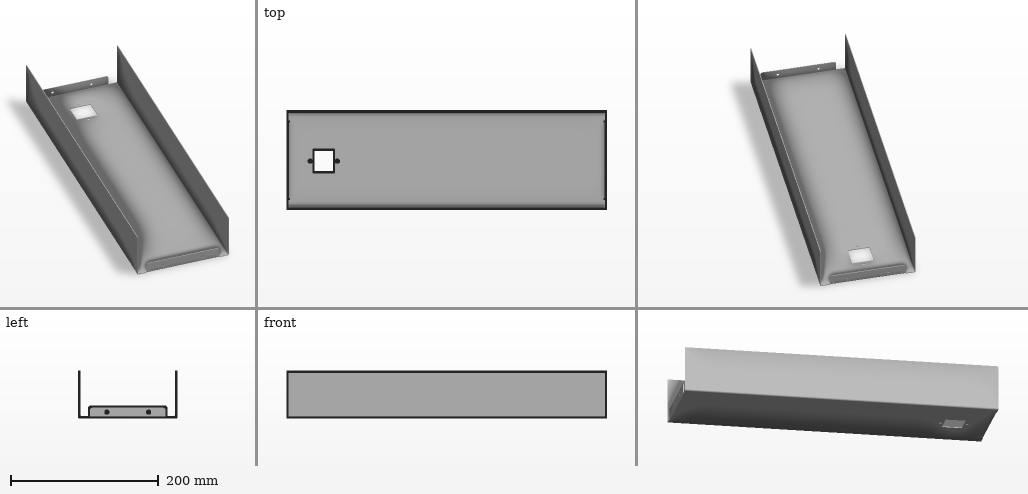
import cadquery as cq

length = 432.0
width = 132.5
height = 62.0
sheet = 1.0
inner_bend = 1.0
outer_bend = inner_bend + sheet

flange_width = 105.5
flange_height = 15.0
flange_corner = 4.0
flange_hole_diameter = 3.5
flange_hole_spacing = 56.5
flange_hole_height = 7.5

window_length = 27.5
window_width = 30.2
window_x = -length / 2 + 49.2
window_y = -1.5
screw_hole_diameter = 3.5
screw_hole_spacing = 36.7


def make_channel():
    """Floor and two full-length side walls, with rounded bends."""
    outside = (
        cq.Workplane("XY")
        .box(length, width, height, centered=(True, True, False))
        .edges("|X and <Z")
        .fillet(outer_bend)
    )
    inside = (
        cq.Workplane("XY", origin=(0, 0, sheet))
        .box(length, width - 2 * sheet, height, centered=(True, True, False))
        .edges("|X and <Z")
        .fillet(inner_bend)
    )
    return outside.cut(inside)


def make_end_flange():
    """Drilled flange at the -X end, including its bend into the floor."""
    end_x = -length / 2
    profile = (
        cq.Workplane("XZ", origin=(0, flange_width / 2, 0))
        .moveTo(end_x + outer_bend, 0)
        .radiusArc((end_x, outer_bend), outer_bend)
        .lineTo(end_x, flange_height)
        .lineTo(end_x + sheet, flange_height)
        .lineTo(end_x + sheet, outer_bend)
        .radiusArc((end_x + outer_bend, sheet), -inner_bend)
        .close()
    )
    flange = profile.extrude(flange_width).edges("|X and >Z").fillet(flange_corner)
    holes = (
        cq.Workplane("YZ", origin=(end_x, 0, flange_hole_height))
        .rarray(flange_hole_spacing, 4.5, 2, 1)
        .circle(flange_hole_diameter / 2)
        .extrude(sheet)
    )
    return flange.cut(holes)


def make_flange_bend_clearance():
    """Strip of floor at the -X end that the flange bend replaces."""
    return cq.Workplane("XY", origin=(-length / 2, 0, 0)).box(
        outer_bend, flange_width, sheet, centered=(False, True, False)
    )


def make_floor_openings():
    """Window and screw holes, as a tool passing through the floor."""
    floor = cq.Workplane("XY", origin=(window_x, window_y, 0))
    window = floor.rect(window_length, window_width).extrude(sheet)
    screw_holes = (
        floor.rarray(screw_hole_spacing, 4.5, 2, 1)
        .circle(screw_hole_diameter / 2)
        .extrude(sheet)
    )
    return window.union(screw_holes)


tray = make_channel().cut(make_floor_openings())
for turn in (0, 180):
    clearance = make_flange_bend_clearance().rotate((0, 0, 0), (0, 0, 1), turn)
    flange = make_end_flange().rotate((0, 0, 0), (0, 0, 1), turn)
    tray = tray.cut(clearance).union(flange)

result = tray